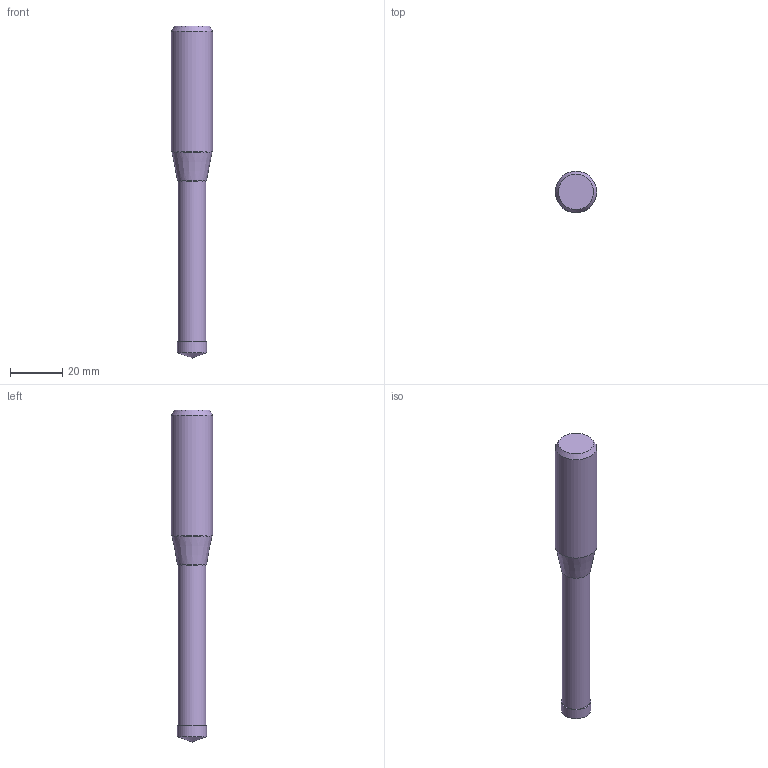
import cadquery as cq
import math

total_length = 127.04

tip_diameter = 11.2
point_angle = 140.0
tip_length = 6.2

neck_diameter = 10.6
taper_small_diameter = 11.1
taper_large_diameter = 15.3
shank_diameter = 15.88
taper_start = 67.85
shoulder_height = 0.2
shank_start = 78.95
shank_chamfer_width = 1.2
shank_chamfer_height = 2.0

tip_radius = tip_diameter / 2
neck_radius = neck_diameter / 2
shank_radius = shank_diameter / 2
point_height = tip_radius / math.tan(math.radians(point_angle / 2))


def revolve_profile(points):
    """Turn a closed (radius, height) outline around the Z axis."""
    return cq.Workplane("XZ").polyline(points).close().revolve(360, (0, 0, 0), (0, 1, 0))


def make_cutting_tip():
    """Cylindrical head with a conical drill point, ending in a flat top."""
    return revolve_profile([
        (0, 0),
        (tip_radius, point_height),
        (tip_radius, tip_length),
        (0, tip_length),
    ])


def make_holder():
    """Slim neck that widens through a taper into the chamfered shank."""
    return revolve_profile([
        (0, tip_length),
        (neck_radius, tip_length),
        (neck_radius, taper_start - shoulder_height),
        (taper_small_diameter / 2, taper_start),
        (taper_large_diameter / 2, shank_start - shoulder_height),
        (shank_radius, shank_start),
        (shank_radius, total_length - shank_chamfer_height),
        (shank_radius - shank_chamfer_width, total_length),
        (0, total_length),
    ])


cutting_tip = make_cutting_tip()
holder = make_holder()

result = cq.Compound.makeCompound([cutting_tip.val(), holder.val()])